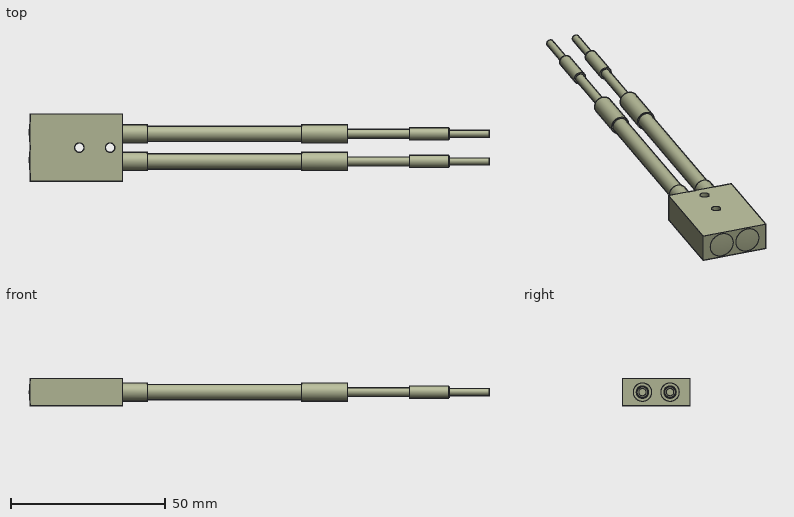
import cadquery as cq

lens_height = 0.3
housing_length = 30.0
housing_width = 22.0
housing_height = 9.0
housing_end = lens_height + housing_length

mount_hole_diameter = 3.0
mount_hole_offsets = (16.0, 26.0)

channel_spacing = 9.0
channel_positions = (-channel_spacing / 2, channel_spacing / 2)
lens_diameter = 8.0

collar_length = 8.0
collar_diameter = 6.0
sheath_length = 50.0
sheath_diameter = 5.1
sleeve_length = 15.0
sleeve_diameter = 6.0
core_length = 20.0
core_diameter = 3.0
ferrule_length = 13.0
ferrule_diameter = 4.0
ferrule_chamfer = 0.3
tip_length = 13.0
tip_diameter = 2.4


def make_housing():
    """Rectangular block with two vertical through holes."""
    block = cq.Workplane("XY").box(
        housing_length, housing_width, housing_height, centered=(False, True, True)
    )
    hole_centres = [(offset, 0) for offset in mount_hole_offsets]
    holes = (
        cq.Workplane("XY", origin=(0, 0, -housing_height / 2))
        .pushPoints(hole_centres)
        .circle(mount_hole_diameter / 2)
        .extrude(housing_height)
    )
    return block.cut(holes).translate((lens_height, 0, 0))


def make_lens(y):
    """Shallow spherical cap seated on the housing face, bulging toward -X."""
    rim_radius = lens_diameter / 2
    sphere_radius = (rim_radius**2 + lens_height**2) / (2 * lens_height)
    mid_radius = rim_radius / 2
    mid_x = sphere_radius - (sphere_radius**2 - mid_radius**2) ** 0.5
    return (
        cq.Workplane("XY")
        .moveTo(0, 0)
        .threePointArc((mid_x, mid_radius), (lens_height, rim_radius))
        .lineTo(lens_height, 0)
        .close()
        .revolve(360, (0, 0, 0), (1, 0, 0))
        .translate((0, y, 0))
    )


def make_rod(start, length, diameter):
    """Round rod along +X."""
    return cq.Workplane("YZ", origin=(start, 0, 0)).circle(diameter / 2).extrude(length)


def make_cable(y):
    """One solid of coaxial steps, from the housing collar to the bare tip."""
    sheath_start = housing_end + collar_length
    sleeve_start = sheath_start + sheath_length
    core_start = sleeve_start + sleeve_length
    ferrule_start = core_start + core_length
    tip_start = ferrule_start + ferrule_length

    collar = make_rod(housing_end, collar_length, collar_diameter)
    sheath = make_rod(sheath_start, sheath_length, sheath_diameter)
    sleeve = make_rod(sleeve_start, sleeve_length, sleeve_diameter)
    core = make_rod(core_start, core_length, core_diameter)
    ferrule = make_rod(ferrule_start, ferrule_length, ferrule_diameter)
    ferrule = ferrule.faces(">X").chamfer(ferrule_chamfer)
    tip = make_rod(tip_start, tip_length, tip_diameter)

    cable = collar.union(sheath).union(sleeve).union(core).union(ferrule).union(tip)
    return cable.translate((0, y, 0))


housing = make_housing()
lenses = [make_lens(y) for y in channel_positions]
cables = [make_cable(y) for y in channel_positions]

result = cq.Compound.makeCompound(
    [
        housing.val(),
        *[lens.val() for lens in lenses],
        *[cable.val() for cable in cables],
    ]
)